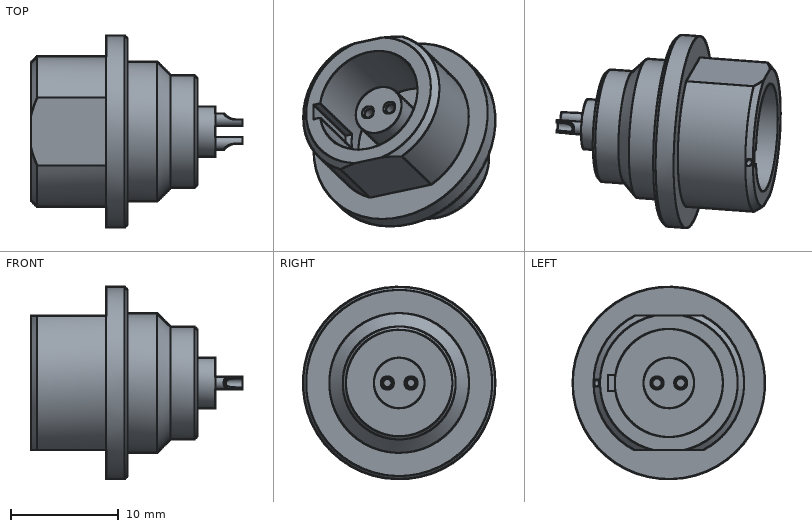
import cadquery as cq
import math


FLANGE_FRONT = 7.0
FLANGE_BACK = 9.0
CONE_START = 11.75
CONE_END = 13.0
SHELL_BACK = 15.5
INSERT_FRONT = 2.2
INSERT_BACK = 17.15
PIN_BACK = 19.7

FRONT_DIAMETER = 14.0
FLANGE_DIAMETER = 17.9
BODY_DIAMETER = 13.0
REAR_DIAMETER = 10.5
FRONT_CHAMFER = 0.6
REAR_CHAMFER = 0.3
FLATS_WIDTH = 12.5

SOCKET_DIAMETER = 10.05
SOCKET_DEPTH = 8.5
KEYWAY_DEPTH = 7.0
KEYWAY_WIDTH = 1.5
KEYWAY_REACH = 5.65
MARK_RADIUS = 0.34

INSERT_DIAMETER = 4.7
PIN_SPACING = 2.2
PIN_DIAMETER = 1.2
CONTACT_BORE_DIAMETER = 0.9
CONTACT_BORE_DEPTH = 5.0
CONTACT_MOUTH_DIAMETER = 1.2
CONTACT_MOUTH_DEPTH = 0.25

CUP_BORE_DIAMETER = 0.8
CUP_BORE_DEPTH = 2.0
CUP_FLAT_START = 19.05
CUP_FLAT_OFFSET = 0.04
CUP_ARC_RADIUS = 1.4


def cylinder(start, end, diameter, y=0.0):
    """Solid cylinder along X between two axial positions."""
    return cq.Workplane("YZ", origin=(start, y, 0)).circle(diameter / 2).extrude(end - start)


def make_front_barrel():
    """Chamfered front barrel with flats on its top and bottom."""
    barrel = cylinder(0, FLANGE_FRONT, FRONT_DIAMETER).faces("<X").chamfer(FRONT_CHAMFER)
    between_flats = cq.Workplane("XY").box(
        FLANGE_FRONT, FRONT_DIAMETER, FLATS_WIDTH, centered=(False, True, True)
    )
    return barrel.intersect(between_flats)


def make_rear_shell():
    """Flange, body, cone and rear barrel, turned about X."""
    flange_radius = FLANGE_DIAMETER / 2
    body_radius = BODY_DIAMETER / 2
    rear_radius = REAR_DIAMETER / 2
    profile = [
        (FLANGE_FRONT, 0),
        (FLANGE_FRONT, flange_radius),
        (FLANGE_BACK - REAR_CHAMFER, flange_radius),
        (FLANGE_BACK, flange_radius - REAR_CHAMFER),
        (FLANGE_BACK, body_radius),
        (CONE_START, body_radius),
        (CONE_END, rear_radius),
        (SHELL_BACK - REAR_CHAMFER, rear_radius),
        (SHELL_BACK, rear_radius - REAR_CHAMFER),
        (SHELL_BACK, 0),
    ]
    return cq.Workplane("XY").polyline(profile).close().revolve(360, (0, 0, 0), (1, 0, 0))


def make_socket():
    """Round socket with a shallower rectangular keyway on its +Y side."""
    keyway = cq.Workplane("XY").box(
        KEYWAY_DEPTH, KEYWAY_REACH, KEYWAY_WIDTH, centered=(False, False, True)
    )
    return cylinder(0, SOCKET_DEPTH, SOCKET_DIAMETER).union(keyway)


def make_index_mark():
    """Ball that sinks a dimple into the middle of the front chamfer, beside the keyway."""
    mark_y = FRONT_DIAMETER / 2 - FRONT_CHAMFER / 2
    return cq.Workplane("XY").sphere(MARK_RADIUS).translate((FRONT_CHAMFER / 2, mark_y, 0))


def make_contact_bore(y):
    """Blind bore in the insert face with a tapered mouth."""
    bore_radius = CONTACT_BORE_DIAMETER / 2
    mouth_radius = CONTACT_MOUTH_DIAMETER / 2
    bore = cylinder(INSERT_FRONT, INSERT_FRONT + CONTACT_BORE_DEPTH, CONTACT_BORE_DIAMETER, y)
    mouth = cq.Solid.makeCone(
        mouth_radius, bore_radius, CONTACT_MOUTH_DEPTH, cq.Vector(INSERT_FRONT, y, 0), cq.Vector(1, 0, 0)
    )
    return bore.union(cq.Workplane(mouth))


def make_solder_pin(side):
    """Pin with a half-open solder cup facing outward; side is +1 or -1 along Y."""
    pin_y = PIN_SPACING / 2
    pin_radius = PIN_DIAMETER / 2
    flat_y = pin_y + CUP_FLAT_OFFSET
    outer_y = pin_y + pin_radius
    rise = outer_y - flat_y
    arc_run = math.sqrt(CUP_ARC_RADIUS**2 - (CUP_ARC_RADIUS - rise) ** 2)
    half_angle = math.atan2(arc_run, CUP_ARC_RADIUS - rise) / 2
    arc_middle = (
        CUP_FLAT_START - CUP_ARC_RADIUS * math.sin(half_angle),
        flat_y + CUP_ARC_RADIUS * (1 - math.cos(half_angle)),
    )
    opening = (
        cq.Workplane("XY")
        .moveTo(PIN_BACK, flat_y)
        .lineTo(CUP_FLAT_START, flat_y)
        .threePointArc(arc_middle, (CUP_FLAT_START - arc_run, outer_y))
        .lineTo(PIN_BACK, outer_y)
        .close()
        .extrude(pin_radius, both=True)
    )
    cup_bore = cylinder(PIN_BACK - CUP_BORE_DEPTH, PIN_BACK, CUP_BORE_DIAMETER, pin_y)
    pin = cylinder(SHELL_BACK, PIN_BACK, PIN_DIAMETER, pin_y).cut(opening).cut(cup_bore)
    return pin if side > 0 else pin.mirror("XZ")


shell = make_front_barrel().union(make_rear_shell()).cut(make_socket()).cut(make_index_mark())
result = shell.union(cylinder(INSERT_FRONT, INSERT_BACK, INSERT_DIAMETER))
for side in (1, -1):
    result = result.cut(make_contact_bore(side * PIN_SPACING / 2))
    result = result.union(make_solder_pin(side))